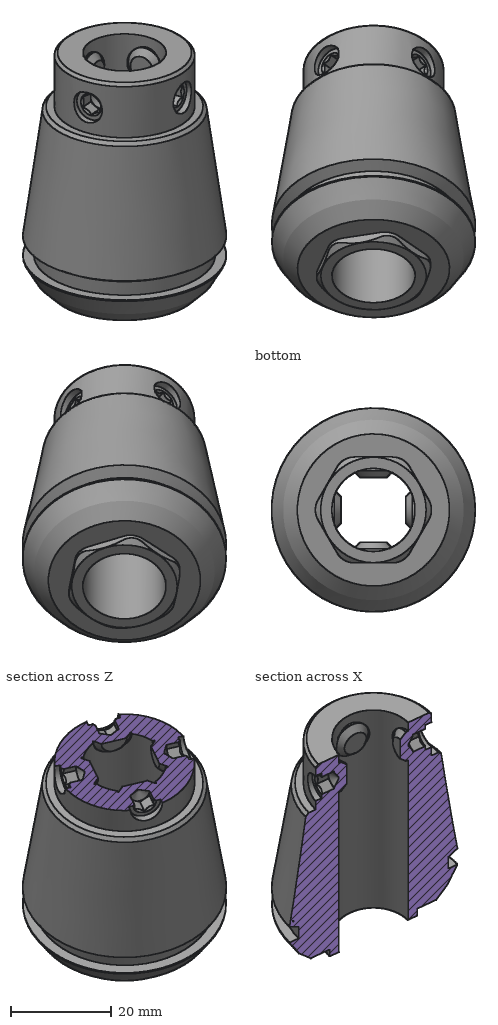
import cadquery as cq
import math

total_height = 54.0
bore_diameter = 16.56
hexagon_sides = 6

flange_diameter = 40.55
flange_bottom_z = 1.9
flange_top_z = 9.0
flange_rim_height = 0.3
flange_knee_z = 4.73
flange_steep_angle = 30.0
flange_shallow_angle = 45.0

groove_diameter = 36.2
groove_top_z = 12.0
groove_flank_angle = 30.0

body_max_diameter = 40.64
body_shoulder_diameter = 32.8
shoulder_z = 42.0
shoulder_chamfer = 0.75

collar_diameter = 28.0
collar_chamfer = 0.65

nut_across_flats = 21.1
nut_corner_radius = 4.0
nut_bottom_diameter = 21.0
nut_chamfer_angle = 45.0

screw_count = 4
screw_z = 47.65
screw_diameter = 8.0
screw_hole_diameter = 6.65
screw_tip_radius = 6.42
screw_tip_diameter = 5.3
screw_length = 6.1
socket_across_flats = 4.0
socket_depth = 3.0
socket_mouth_diameter = 4.8
socket_mouth_depth = 0.5
socket_drill_angle = 120.0


def tangent(angle):
    return math.tan(math.radians(angle))


def across_corners(across_flats):
    """Corner-to-corner width of a regular hexagon."""
    return across_flats / math.cos(math.pi / hexagon_sides)


def make_body():
    """Flange, groove, tapered body and collar as one revolved solid with the main bore."""
    flange_r = flange_diameter / 2
    groove_r = groove_diameter / 2
    body_r = body_max_diameter / 2
    shoulder_r = body_shoulder_diameter / 2
    collar_r = collar_diameter / 2

    rim_bottom_z = flange_top_z - flange_rim_height
    knee_r = flange_r - (rim_bottom_z - flange_knee_z) * tangent(flange_steep_angle)
    base_r = knee_r - (flange_knee_z - flange_bottom_z) * tangent(flange_shallow_angle)
    body_bottom_z = groove_top_z + (body_r - groove_r) * tangent(groove_flank_angle)

    profile = [
        (bore_diameter / 2, flange_bottom_z),
        (base_r, flange_bottom_z),
        (knee_r, flange_knee_z),
        (flange_r, rim_bottom_z),
        (flange_r, flange_top_z),
        (groove_r, flange_top_z),
        (groove_r, groove_top_z),
        (body_r, body_bottom_z),
        (shoulder_r, shoulder_z - shoulder_chamfer),
        (shoulder_r - shoulder_chamfer, shoulder_z),
        (collar_r, shoulder_z),
        (collar_r, total_height - collar_chamfer),
        (collar_r - collar_chamfer, total_height),
        (bore_diameter / 2, total_height),
    ]
    return cq.Workplane("XZ").polyline(profile).close().revolve()


def make_nut_end():
    """Rounded hexagon with flats facing +Y and -Y and a turned chamfer on its lower face."""
    corner_diameter = across_corners(nut_across_flats)
    nut_top_z = flange_knee_z
    hexagon = (
        cq.Workplane("XY")
        .polygon(hexagon_sides, corner_diameter)
        .extrude(nut_top_z)
        .edges("|Z")
        .fillet(nut_corner_radius)
    )
    bottom_r = nut_bottom_diameter / 2
    top_r = bottom_r + nut_top_z * tangent(nut_chamfer_angle)
    cone = cq.Solid.makeCone(bottom_r, top_r, nut_top_z)
    bore = cq.Workplane("XY").circle(bore_diameter / 2).extrude(nut_top_z)
    return hexagon.intersect(cq.Workplane(cone)).cut(bore)


def make_screw():
    """Set screw along +X with a chamfered tip towards the axis and a hexagon socket outside."""
    outer_x = screw_tip_radius + screw_length
    thread_r = screw_diameter / 2
    tip_r = screw_tip_diameter / 2
    tip_chamfer = thread_r - tip_r
    screw = (
        cq.Workplane("XZ")
        .polyline([
            (screw_tip_radius, 0),
            (screw_tip_radius, tip_r),
            (screw_tip_radius + tip_chamfer, thread_r),
            (outer_x, thread_r),
            (outer_x, 0),
        ])
        .close()
        .revolve(360, (0, 0), (1, 0))
    )

    socket_corner_diameter = across_corners(socket_across_flats)
    socket = (
        cq.Workplane("YZ", origin=(outer_x - socket_depth, 0, 0))
        .transformed(rotate=(0, 0, 90))
        .polygon(hexagon_sides, socket_corner_diameter)
        .extrude(socket_depth)
    )

    drill_r = socket_across_flats / 2
    floor_x = outer_x - socket_depth
    point_x = floor_x - drill_r / tangent(socket_drill_angle / 2)
    mouth_r = socket_mouth_diameter / 2
    turned = (
        cq.Workplane("XZ")
        .polyline([
            (point_x, 0),
            (floor_x, drill_r),
            (outer_x - socket_mouth_depth, drill_r),
            (outer_x, mouth_r),
            (outer_x, 0),
        ])
        .close()
        .revolve(360, (0, 0), (1, 0))
    )
    return screw.cut(socket).cut(turned).translate((0, 0, screw_z))


def make_screw_hole():
    """Radial hole along +X that leaves the outer screw face visible."""
    outer_x = screw_tip_radius + screw_length
    return (
        cq.Workplane("YZ", origin=(outer_x, 0, screw_z))
        .circle(screw_hole_diameter / 2)
        .extrude(collar_diameter / 2)
    )


def screw_clearance():
    """Radial space along +X that is refilled by the screw."""
    return (
        cq.Workplane("YZ", origin=(screw_tip_radius, 0, screw_z))
        .circle(screw_diameter / 2)
        .extrude(screw_length)
    )


result = make_body().union(make_nut_end())
hole = make_screw_hole()
clearance = screw_clearance()
screw = make_screw()
for index in range(screw_count):
    angle = index * 360 / screw_count
    axis = ((0, 0, 0), (0, 0, 1), angle)
    result = result.cut(hole.rotate(*axis)).cut(clearance.rotate(*axis))
    result = result.union(screw.rotate(*axis))